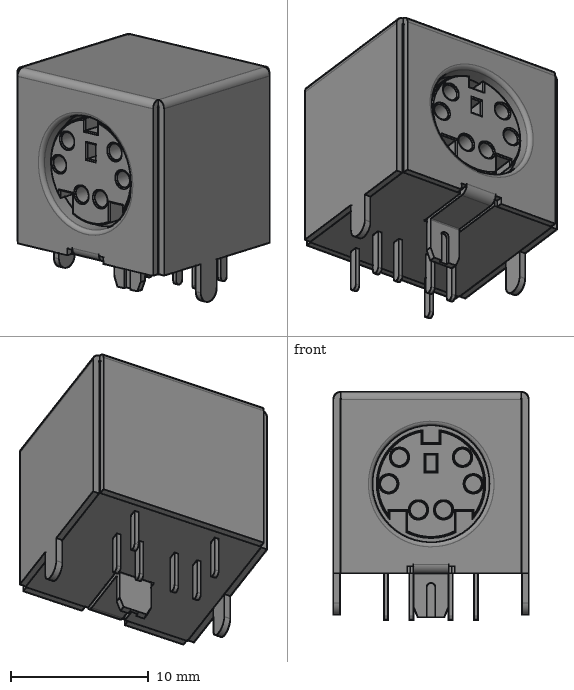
import cadquery as cq

width = 14.21
depth = 12.8
total_height = 16.6
shield_height = 13.2
front_y = -depth / 2

sheet = 0.5
bend_radius = 0.56
inner_radius = bend_radius - sheet
leg_width = 1.76
leg_length = 3.02
leg_setback = 4.61

strap_width = 2.55
strap_bend_radius = 0.65
tab_length = 3.2
tab_taper_width = 0.32
tab_taper_height = 0.76
tab_groove_width = 0.61
tab_groove_height = 2.5
tab_groove_depth = sheet / 2
relief_width = 3.49
relief_height = 0.51
channel_width = 3.02

socket_z = 6.5
socket_radius = 4.25
lip_radius = 0.32
collar_radius = socket_radius + lip_radius
collar_length = 1.5
socket_depth = 4.98

core_radius = 3.95
core_setback = 0.6
edge_chamfer = 0.1
top_key_width = 1.2
top_key_floor = 2.99
side_key_inner = 1.81
side_key_outer = 3.0
side_key_top = -2.0
post_hole_width = 0.8
post_hole_height = 1.2
post_hole_z = 1.5
contact_radius = 0.61
contact_places = [(2.29, 1.93), (3.07, 0.0), (0.91, -1.9)]

pin_thickness = 0.32
pin_width = 0.66
pin_length = total_height - shield_height
inner_pin_x = 1.43
outer_pin_x = 3.27
front_row_setback = 8.53
rear_row_setback = 11.35
pin_rows = [(front_row_setback, (inner_pin_x, outer_pin_x)), (rear_row_setback, (outer_pin_x,))]


def block(x_range, y_range, z_range):
    """Axis-aligned box given by its limits."""
    size = [high - low for low, high in (x_range, y_range, z_range)]
    return cq.Workplane("XY").box(*size, centered=False).translate((x_range[0], y_range[0], z_range[0]))


def centred_block(x_size, y_range, z_range):
    """Box symmetric about X = 0."""
    return block((-x_size / 2, x_size / 2), y_range, z_range)


def front_sketch(setback, height=socket_z):
    """Sketch plane at a setback behind the front face, X right and Z up; extrude negative to go inwards."""
    return cq.Workplane("XZ", origin=(0, front_y + setback, height))


def round_ended_blade(x, y, thickness, blade_width, length):
    """Flat blade hanging down from Z = 0 with a full round end, centred on x and y."""
    half = blade_width / 2
    return (
        cq.Workplane("YZ", origin=(x - thickness / 2, y, 0))
        .moveTo(-half, 0)
        .lineTo(-half, half - length)
        .threePointArc((0, -length), (half, half - length))
        .lineTo(half, 0)
        .close()
        .extrude(thickness)
    )


def folded_cover():
    """Top with four walls: two crossing folded channels, hollowed from below, open at the corners."""
    side_channel = (
        cq.Workplane("XY")
        .box(width, depth - 2 * bend_radius, shield_height, centered=(True, True, False))
        .edges("|Y and >Z")
        .fillet(bend_radius)
    )
    front_channel = (
        cq.Workplane("XY")
        .box(width - 2 * bend_radius, depth, shield_height, centered=(True, True, False))
        .edges("|X and >Z")
        .fillet(bend_radius)
    )
    return side_channel.union(front_channel).cut(cavity())


def cavity():
    """Space inside the shield walls."""
    return (
        cq.Workplane("XY")
        .box(width - 2 * sheet, depth - 2 * sheet, shield_height - sheet, centered=(True, True, False))
        .edges(">Z")
        .fillet(inner_radius)
    )


def socket_collar():
    """Solid form of the tube behind the round opening of the front wall."""
    return front_sketch(0).circle(collar_radius).extrude(-collar_length)


def socket_opening():
    """Bore of the collar, flared by a rounded lip at the front face."""
    lip_mid = lip_radius * (1 - 0.5 ** 0.5)
    return (
        cq.Workplane("XY", origin=(0, front_y, socket_z))
        .lineTo(collar_radius, 0)
        .threePointArc((socket_radius + lip_mid, lip_mid), (socket_radius, lip_radius))
        .lineTo(socket_radius, collar_length)
        .lineTo(0, collar_length)
        .close()
        .revolve(360, (0, 0, 0), (0, 1, 0))
    )


def strap_opening():
    """Cut in the front wall: low relief on both sides, higher where the strap bends away."""
    wall = (front_y, front_y + sheet)
    relief = centred_block(relief_width, wall, (0, relief_height))
    return relief.union(centred_block(strap_width, wall, (0, strap_bend_radius)))


def ground_strap():
    """Bend, strap and tapered tab with a shallow round-topped groove in its front."""
    strap_inner_radius = strap_bend_radius - sheet
    tab_back = leg_setback + sheet
    strap = (
        cq.Workplane("YZ", origin=(-strap_width / 2, front_y, 0))
        .moveTo(0, strap_bend_radius)
        .radiusArc((strap_bend_radius, 0), -strap_bend_radius)
        .lineTo(leg_setback - inner_radius, 0)
        .radiusArc((leg_setback, -inner_radius), inner_radius)
        .lineTo(leg_setback, -tab_length)
        .lineTo(tab_back, -tab_length)
        .lineTo(tab_back, -inner_radius)
        .radiusArc((leg_setback - inner_radius, sheet), -bend_radius)
        .lineTo(strap_bend_radius, sheet)
        .radiusArc((sheet, strap_bend_radius), strap_inner_radius)
        .close()
        .extrude(strap_width)
    )
    half = strap_width / 2
    for side in (-1, 1):
        taper = (
            front_sketch(leg_setback, -tab_length)
            .moveTo(side * half, 0)
            .lineTo(side * (half - tab_taper_width), 0)
            .lineTo(side * half, tab_taper_height)
            .close()
            .extrude(-sheet)
        )
        strap = strap.cut(taper)
    groove_half = tab_groove_width / 2
    groove = (
        front_sketch(leg_setback, -tab_length)
        .moveTo(-groove_half, 0)
        .lineTo(-groove_half, tab_groove_height - groove_half)
        .threePointArc((0, tab_groove_height), (groove_half, tab_groove_height - groove_half))
        .lineTo(groove_half, 0)
        .close()
        .extrude(-tab_groove_depth)
    )
    return strap.cut(groove)


def make_shield():
    """Folded cover with socket collar, two mounting legs and the ground strap."""
    shield = folded_cover().union(socket_collar()).cut(socket_opening())
    shield = shield.cut(strap_opening()).union(ground_strap())
    leg_y = front_y + leg_setback + leg_width / 2
    for side in (-1, 1):
        leg_x = side * (width - sheet) / 2
        shield = shield.union(round_ended_blade(leg_x, leg_y, sheet, leg_width, leg_length))
    return shield


def socket_core():
    """Keyed core with contact holes and a rectangular post hole, all edges of its face chamfered."""
    core_length = socket_depth - core_setback
    core = front_sketch(core_setback).circle(core_radius).extrude(-core_length)
    y_range = (front_y + core_setback, front_y + socket_depth)
    core = core.cut(
        centred_block(top_key_width, y_range, (socket_z + top_key_floor, socket_z + core_radius))
    )
    for low, high in ((-side_key_outer, -side_key_inner), (side_key_inner, side_key_outer)):
        core = core.cut(block((low, high), y_range, (socket_z - core_radius, socket_z + side_key_top)))
    core = core.cut(
        front_sketch(core_setback)
        .center(0, post_hole_z)
        .rect(post_hole_width, post_hole_height)
        .extrude(-core_length)
    )
    contacts = [(side * x, z) for x, z in contact_places for side in (-1, 1)]
    core = core.cut(
        front_sketch(core_setback).pushPoints(contacts).circle(contact_radius).extrude(-core_length)
    )
    return core.faces("<Y").edges().chamfer(edge_chamfer)


def make_insulator():
    """Block filling the shield, with the keyed core, a channel for the strap and the solder pins."""
    socket_space = front_sketch(0).circle(socket_radius).extrude(-socket_depth)
    strap_channel = centred_block(
        channel_width, (front_y, front_y + leg_setback + sheet), (0, strap_bend_radius)
    )
    insulator = cavity().cut(socket_collar()).cut(socket_space).cut(strap_channel).union(socket_core())
    for setback, columns in pin_rows:
        for x in columns:
            for side in (-1, 1):
                pin = round_ended_blade(side * x, front_y + setback, pin_thickness, pin_width, pin_length)
                insulator = insulator.union(pin)
    return insulator


shield = make_shield()
insulator = make_insulator()

result = cq.Compound.makeCompound([shield.solids().val(), insulator.solids().val()])